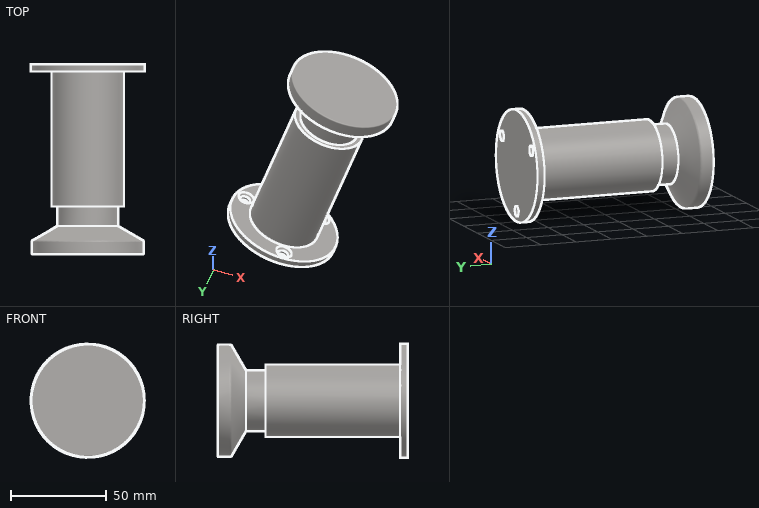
import cadquery as cq
import math

total_length = 100.0

flange_radius = 30.0
flange_thickness = 4.0

tube_radius = 19.1
neck_radius = 16.1
neck_length = 10.2

head_radius = 29.6
head_length = 14.9
cone_angle = 30.0
back_round = 1.5
face_round = 0.7

hole_count = 3
hole_circle_radius = 24.3
first_hole_angle = 30.0
hole_diameter = 5.5
sink_diameter = 8.5
sink_angle = 90.0

flange_front = total_length - flange_thickness
tube_front = head_length + neck_length
cone_length = (head_radius - neck_radius) * math.tan(math.radians(cone_angle))
cone_front = head_length - cone_length


def make_cylinder(radius, start, end):
    """Solid cylinder on the Y axis between two stations."""
    return cq.Workplane("XZ", origin=(0, start, 0)).circle(radius).extrude(start - end)


def make_head():
    """Revolved disc with a conical back and rounded rims."""
    head = (
        cq.Workplane("XY")
        .moveTo(0, 0)
        .lineTo(head_radius, 0)
        .lineTo(head_radius, cone_front)
        .lineTo(neck_radius, head_length)
        .lineTo(0, head_length)
        .close()
        .revolve(360, (0, 0, 0), (0, 1, 0))
    )
    head = head.faces("<Y").edges().fillet(face_round)
    rims = head.edges(cq.selectors.RadiusNthSelector(-1))
    return rims.edges(">Y").fillet(back_round)


def make_flange():
    """Round flange with screw holes countersunk from the tube side."""
    flange = make_cylinder(flange_radius, flange_front, total_length)
    return (
        flange.faces("<Y")
        .workplane(origin=(0, flange_front, 0))
        .polarArray(hole_circle_radius, first_hole_angle, 360, hole_count)
        .cskHole(hole_diameter, sink_diameter, sink_angle)
    )


tube = make_cylinder(tube_radius, tube_front, flange_front)
neck = make_cylinder(neck_radius, head_length, tube_front)
result = make_flange().union(tube).union(neck).union(make_head())